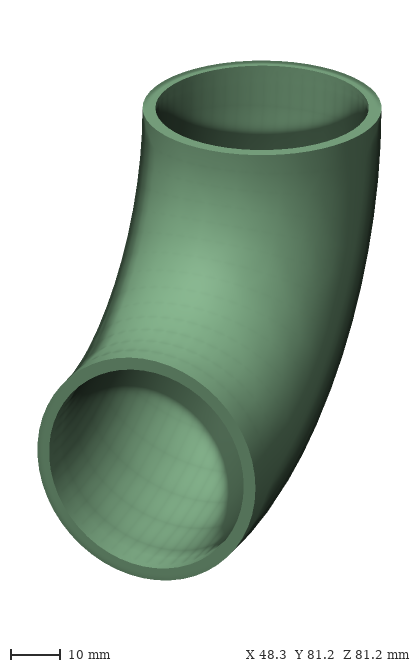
import cadquery as cq

overall_length = 81.15
outer_diameter = 48.3
wall_thickness = 2.6
bend_angle = 90.0

outer_radius = outer_diameter / 2
inner_radius = outer_radius - wall_thickness
bend_radius = overall_length - outer_radius

result = (
    cq.Workplane("XZ")
    .center(0, -bend_radius)
    .circle(outer_radius)
    .circle(inner_radius)
    .revolve(bend_angle, (0, bend_radius), (1, bend_radius))
)